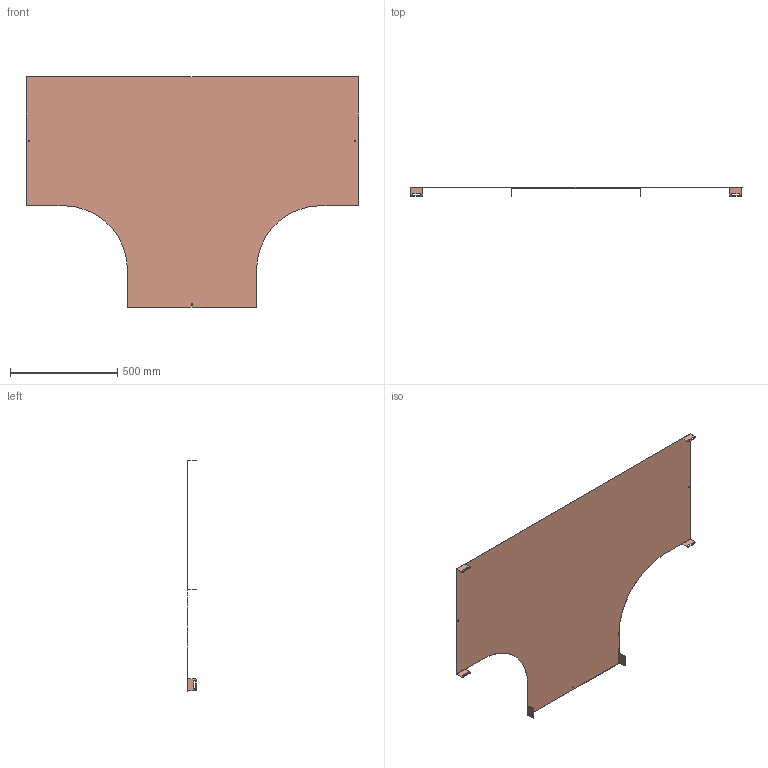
import cadquery as cq

OVERALL_LENGTH = 1546.0
OVERALL_HEIGHT = 1073.6
OVERALL_DEPTH = 40.13
SHEET = 0.6
BRANCH_WIDTH = 600.6
INNER_CORNER_RADIUS = 300.0

HOLE_DIAMETER = 6.4
HOLE_EDGE_DISTANCE = 13.0

TAB_WIDTH = 56.0
TAB_SETBACK = 2.75
TAB_CORNER_RADIUS = 5.0
SLOT_LENGTH = 42.0
SLOT_WIDTH = 7.0
SLOT_TIP_DISTANCE = 7.5

HALF_LENGTH = OVERALL_LENGTH / 2
HALF_STEM = BRANCH_WIDTH / 2
ARM_TOP = OVERALL_HEIGHT
ARM_BOTTOM = OVERALL_HEIGHT - BRANCH_WIDTH
ARM_MIDDLE = (ARM_TOP + ARM_BOTTOM) / 2
TAB_TIP = SHEET - OVERALL_DEPTH


def cover_plate():
    """T-shaped plate with large rounded inner corners between arms and stem."""
    arc_arm_end = HALF_STEM + INNER_CORNER_RADIUS
    arc_stem_end = ARM_BOTTOM - INNER_CORNER_RADIUS
    outline = (
        cq.Workplane("XZ")
        .moveTo(-HALF_LENGTH, ARM_TOP)
        .lineTo(HALF_LENGTH, ARM_TOP)
        .lineTo(HALF_LENGTH, ARM_BOTTOM)
        .lineTo(arc_arm_end, ARM_BOTTOM)
        .radiusArc((HALF_STEM, arc_stem_end), -INNER_CORNER_RADIUS)
        .lineTo(HALF_STEM, 0)
        .lineTo(-HALF_STEM, 0)
        .lineTo(-HALF_STEM, arc_stem_end)
        .radiusArc((-arc_arm_end, ARM_BOTTOM), -INNER_CORNER_RADIUS)
        .lineTo(-HALF_LENGTH, ARM_BOTTOM)
        .close()
    )
    return outline.extrude(-SHEET)


def fixing_holes():
    """Cutters for one through hole at the middle of each of the three open ends."""
    side = HALF_LENGTH - HOLE_EDGE_DISTANCE
    centres = [(-side, ARM_MIDDLE), (side, ARM_MIDDLE), (0, HOLE_EDGE_DISTANCE)]
    return (
        cq.Workplane("XZ")
        .pushPoints(centres)
        .circle(HOLE_DIAMETER / 2)
        .extrude(-SHEET)
    )


def slotted_tab():
    """Tab lying flat on Z = 0 and starting at X = 0, with a round-ended slot near its tip."""
    tab = (
        cq.Workplane("XY")
        .box(TAB_WIDTH, OVERALL_DEPTH, SHEET, centered=False)
        .translate((0, TAB_TIP, 0))
        .edges("|Z and <Y")
        .fillet(TAB_CORNER_RADIUS)
    )
    slot = (
        cq.Workplane("XY")
        .center(TAB_WIDTH / 2, TAB_TIP + SLOT_TIP_DISTANCE)
        .slot2D(SLOT_LENGTH, SLOT_WIDTH)
        .extrude(SHEET)
    )
    return tab.cut(slot)


def arm_tab(base_height):
    """Horizontal tab at the end of the left arm."""
    return slotted_tab().translate((TAB_SETBACK - HALF_LENGTH, 0, base_height))


def stem_tab():
    """Upright tab on the left edge of the stem, close to its foot."""
    upright = slotted_tab().rotate((0, 0, 0), (0, 1, 0), -90)
    return upright.translate((SHEET - HALF_STEM, 0, TAB_SETBACK))


result = cover_plate().cut(fixing_holes())
for left_tab in (arm_tab(ARM_TOP - SHEET), arm_tab(ARM_BOTTOM), stem_tab()):
    result = result.union(left_tab).union(left_tab.mirror("YZ"))